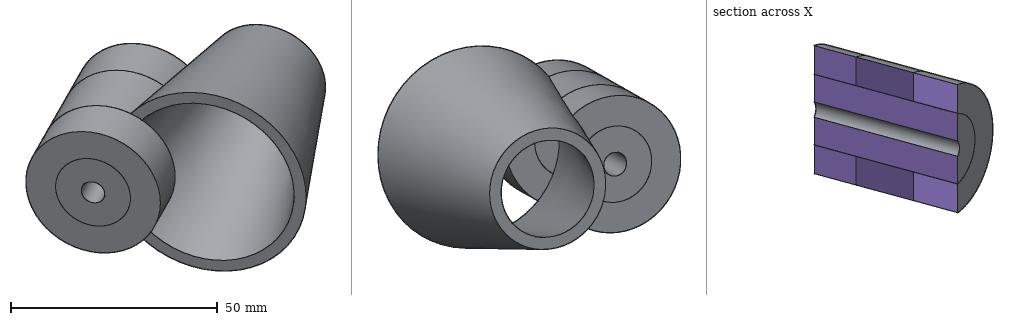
import cadquery as cq

total_width = 67.0
total_depth = 62.5

sleeve_length = 50.0
sleeve_front_radius = 25.0
sleeve_back_radius = 15.0
sleeve_wall = 3.0

roller_diameter = 34.0
core_diameter = 18.9
bore_diameter = 5.9
front_length = total_depth - sleeve_length
middle_length = 17.0
back_length = 13.0
roller_length = front_length + middle_length + back_length
roller_x = sleeve_front_radius + roller_diameter / 2 - total_width


def make_frustum(front_radius, back_radius):
    """Solid cone frustum narrowing from Y = 0 to the back of the sleeve."""
    profile = [(0, 0), (front_radius, 0), (back_radius, sleeve_length), (0, sleeve_length)]
    return cq.Workplane("XY").polyline(profile).close().revolve(360, (0, 0, 0), (0, 1, 0))


def make_tube(outer_diameter, inner_diameter, front_y, length):
    """Tube on the roller axis, extending toward +Y from front_y."""
    plane = cq.Plane(origin=(roller_x, front_y, 0), xDir=(1, 0, 0), normal=(0, 1, 0))
    return cq.Workplane(plane).circle(outer_diameter / 2).circle(inner_diameter / 2).extrude(length)


sleeve_envelope = make_frustum(sleeve_front_radius, sleeve_back_radius)
sleeve_bore = make_frustum(sleeve_front_radius - sleeve_wall, sleeve_back_radius - sleeve_wall)
sleeve = sleeve_envelope.cut(sleeve_bore)

front_ring = make_tube(roller_diameter, core_diameter, -front_length, front_length)

middle_ring = make_tube(roller_diameter, core_diameter, 0, middle_length).cut(sleeve_envelope)
back_ring = make_tube(roller_diameter, core_diameter, middle_length, back_length).cut(sleeve_envelope)

core = make_tube(core_diameter, bore_diameter, -front_length, roller_length).cut(sleeve_envelope)

result = cq.Compound.makeCompound([
    sleeve.solids().val(),
    front_ring.solids().val(),
    middle_ring.solids().val(),
    back_ring.solids().val(),
    core.solids().val(),
])